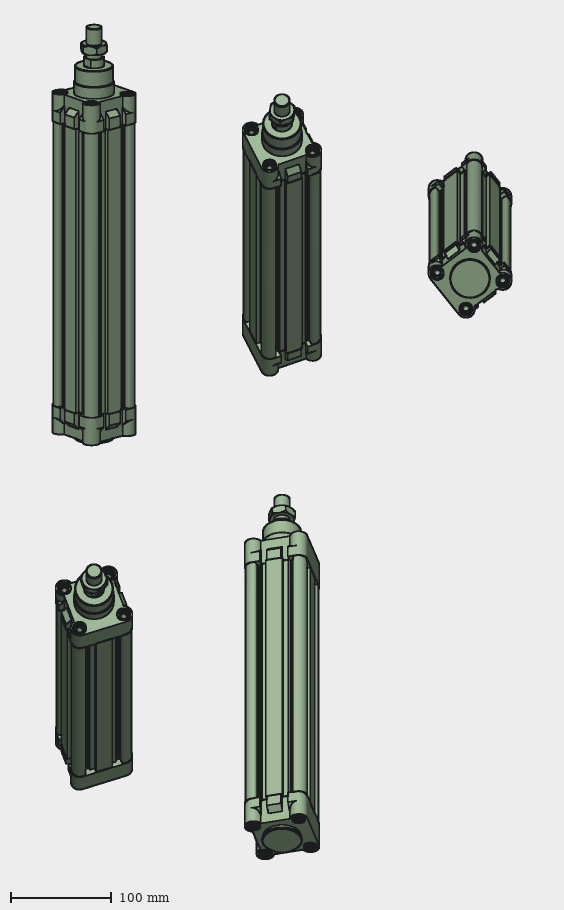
import cadquery as cq
import math

BOTTOM_CAP_Z = 5.0
BARREL_Z = 34.0
TOP_CAP_Z = 330.5
COLLAR_Z = 360.0
COLLAR_STEP_Z = 372.5
COLLAR_TOP_Z = 388.5
SHOULDER_Z = 397.3
NUT_Z = 403.0
TOP_Z = 429.0
CAP_HEIGHT = COLLAR_Z - TOP_CAP_Z
BOTTOM_CAP_HEIGHT = BARREL_Z - BOTTOM_CAP_Z

CAP_WIDTH = 64.0
CAP_HALF_WIDTH = CAP_WIDTH / 2
SCREW_OFFSET = 23.0
POST_RADIUS = CAP_HALF_WIDTH - SCREW_OFFSET
POST_INNER = SCREW_OFFSET - POST_RADIUS
BLOCK_HALF_WIDTH = 26.0
PAD_WIDTH = 14.5
PAD_HEIGHT = 12.0
PAD_DEPTH = CAP_HALF_WIDTH - BLOCK_HALF_WIDTH
RECESSED_SIDES = (-90, 0, 90)

SCREW_RECESSES = ((13.5, 1.5), (11.5, 2.5), (8.0, 4.5), (6.5, 6.0))

COLLAR_DIAMETER = 40.0
COLLAR_NECK_DIAMETER = 38.0
FOOT_RIM_HEIGHT = 1.7
COLLAR_CHAMFER = (COLLAR_DIAMETER - COLLAR_NECK_DIAMETER) / 2

BARREL_HALF_WIDTH = 31.5
BARREL_CORNER_RADIUS = 8.5
EDGE_ROUND_START = 21.5
EDGE_ROUND_RADIUS = 2.5
SLOT_CENTER = 16.5
SLOT_HALF_WIDTH = EDGE_ROUND_START - EDGE_ROUND_RADIUS - SLOT_CENTER
CHANNEL_HALF_WIDTH = 1.0
RIB_HALF_WIDTH = 8.5
FLOOR_LEVEL = 27.0
LEDGE_LEVEL = 25.5
CHANNEL_LEVEL = 22.5

ROD_DIAMETER = 20.0
ROD_ACROSS_FLATS = 17.0
THREAD_DIAMETER = 16.0
THREAD_CHAMFER = 1.0
NUT_ACROSS_FLATS = 24.0
NUT_HEIGHT = 9.0
NUT_CHAMFER = 1.7


def cylinder(diameter, bottom, top):
    """Upright cylinder on the Z axis between two heights."""
    return cq.Workplane("XY").workplane(offset=bottom).circle(diameter / 2).extrude(top - bottom)


def make_pad(left, right):
    """Pad on the -Y side of a cap, with a 45 degree slope running up to the block face."""
    return (
        cq.Workplane("YZ")
        .workplane(offset=left)
        .moveTo(0, 0)
        .lineTo(-CAP_HALF_WIDTH, 0)
        .lineTo(-CAP_HALF_WIDTH, PAD_HEIGHT)
        .lineTo(-BLOCK_HALF_WIDTH, PAD_HEIGHT + PAD_DEPTH)
        .lineTo(0, PAD_HEIGHT + PAD_DEPTH)
        .close()
        .extrude(right - left)
    )


def make_screw_hole(top):
    """Stepped hole down from the given height, ending in a cone."""
    last_diameter, last_depth = SCREW_RECESSES[-1]
    cone_base = cq.Vector(0, 0, top - last_depth)
    last_radius = last_diameter / 2
    hole = cq.Workplane(cq.Solid.makeCone(last_radius, 0, last_radius, cone_base, cq.Vector(0, 0, -1)))
    for diameter, depth in SCREW_RECESSES:
        hole = hole.union(cylinder(diameter, top - depth, top))
    return hole


def make_cap(height):
    """End cap standing on the barrel end at Z = 0, flush on its +Y side."""
    posts = (
        cq.Workplane("XY")
        .rect(2 * SCREW_OFFSET, 2 * SCREW_OFFSET, forConstruction=True)
        .vertices()
        .circle(POST_RADIUS)
        .extrude(height)
    )
    block = cq.Workplane("XY").box(
        2 * BLOCK_HALF_WIDTH, 2 * BLOCK_HALF_WIDTH, height, centered=(True, True, False)
    )
    flush_side = cq.Workplane("XY").box(
        2 * SCREW_OFFSET, CAP_HALF_WIDTH, height, centered=(True, False, False)
    )
    cap = block.union(flush_side).union(posts)

    for angle in RECESSED_SIDES:
        for left, right in (
            (-SCREW_OFFSET, -POST_INNER),
            (-PAD_WIDTH / 2, PAD_WIDTH / 2),
            (POST_INNER, SCREW_OFFSET),
        ):
            cap = cap.union(make_pad(left, right).rotate((0, 0, 0), (0, 0, 1), angle))

    screw_hole = make_screw_hole(height)
    for x in (-SCREW_OFFSET, SCREW_OFFSET):
        for y in (-SCREW_OFFSET, SCREW_OFFSET):
            cap = cap.cut(screw_hole.translate((x, y, 0)))
    return cap


def make_barrel():
    """Square profile with rounded corners and the same pair of stepped slots on every side."""
    corner_center = BARREL_HALF_WIDTH - BARREL_CORNER_RADIUS
    corner_mid = corner_center + BARREL_CORNER_RADIUS * math.sqrt(0.5)
    slot_outer = SLOT_CENTER + SLOT_HALF_WIDTH
    slot_inner = SLOT_CENTER - SLOT_HALF_WIDTH
    round_level = BARREL_HALF_WIDTH - EDGE_ROUND_RADIUS
    round_mid_along = EDGE_ROUND_START - EDGE_ROUND_RADIUS * math.sqrt(0.5)
    round_mid_level = round_level + EDGE_ROUND_RADIUS * math.sqrt(0.5)

    def on_side(quarter, along, out):
        """Point on one of the four sides, starting from -Y and going counterclockwise."""
        x, y = along, -out
        for _ in range(quarter):
            x, y = -y, x
        return x, y

    half_side = (
        (slot_outer, round_level),
        (slot_outer, LEDGE_LEVEL),
        (SLOT_CENTER + CHANNEL_HALF_WIDTH, LEDGE_LEVEL),
        (SLOT_CENTER + CHANNEL_HALF_WIDTH, CHANNEL_LEVEL),
        (SLOT_CENTER - CHANNEL_HALF_WIDTH, CHANNEL_LEVEL),
        (SLOT_CENTER - CHANNEL_HALF_WIDTH, LEDGE_LEVEL),
        (slot_inner, LEDGE_LEVEL),
        (slot_inner, FLOOR_LEVEL),
        (RIB_HALF_WIDTH, FLOOR_LEVEL),
        (RIB_HALF_WIDTH, BARREL_HALF_WIDTH),
    )
    profile = cq.Workplane("XY").moveTo(*on_side(0, -corner_center, BARREL_HALF_WIDTH))
    for quarter in range(4):
        profile = profile.lineTo(*on_side(quarter, -EDGE_ROUND_START, BARREL_HALF_WIDTH))
        profile = profile.threePointArc(
            on_side(quarter, -round_mid_along, round_mid_level),
            on_side(quarter, -slot_outer, round_level),
        )
        for along, out in half_side[1:]:
            profile = profile.lineTo(*on_side(quarter, -along, out))
        for along, out in reversed(half_side):
            profile = profile.lineTo(*on_side(quarter, along, out))
        profile = profile.threePointArc(
            on_side(quarter, round_mid_along, round_mid_level),
            on_side(quarter, EDGE_ROUND_START, BARREL_HALF_WIDTH),
        )
        profile = profile.lineTo(*on_side(quarter, corner_center, BARREL_HALF_WIDTH))
        profile = profile.threePointArc(
            on_side(quarter, corner_mid, corner_mid),
            on_side(quarter, BARREL_HALF_WIDTH, corner_center),
        )
    return profile.close().extrude(TOP_CAP_Z - BARREL_Z).translate((0, 0, BARREL_Z))


def make_housing():
    """Barrel with both end caps, the rod collar, the foot collar and the blind rod hole."""
    top_cap = make_cap(CAP_HEIGHT).translate((0, 0, TOP_CAP_Z))
    bottom_cap = make_cap(BOTTOM_CAP_HEIGHT).mirror("XY").translate((0, 0, BARREL_Z))
    collar = cylinder(COLLAR_DIAMETER, COLLAR_Z, COLLAR_STEP_Z).faces(">Z").chamfer(COLLAR_CHAMFER)
    collar_neck = (
        cylinder(COLLAR_NECK_DIAMETER, COLLAR_STEP_Z, COLLAR_TOP_Z).faces(">Z").chamfer(COLLAR_CHAMFER)
    )
    foot_rim = cylinder(COLLAR_DIAMETER, 0, FOOT_RIM_HEIGHT).faces("<Z").chamfer(COLLAR_CHAMFER)
    foot_neck = cylinder(COLLAR_NECK_DIAMETER, FOOT_RIM_HEIGHT, BOTTOM_CAP_Z)
    rod_hole = cylinder(ROD_DIAMETER, TOP_CAP_Z, COLLAR_TOP_Z)

    housing = make_barrel()
    for piece in (top_cap, bottom_cap, collar, collar_neck, foot_neck, foot_rim):
        housing = housing.union(piece)
    return housing.cut(rod_hole)


def make_rod():
    """Piston rod with two wrench flats facing -Y and +Y and a thinner threaded end."""
    shank = cylinder(ROD_DIAMETER, TOP_CAP_Z, COLLAR_TOP_Z)
    wrench_flats = cylinder(ROD_DIAMETER, COLLAR_TOP_Z, SHOULDER_Z).intersect(
        cq.Workplane("XY").box(ROD_DIAMETER, ROD_ACROSS_FLATS, 2 * SHOULDER_Z)
    )
    threaded_end = cylinder(THREAD_DIAMETER, SHOULDER_Z, TOP_Z).faces(">Z").chamfer(THREAD_CHAMFER)
    return shank.union(wrench_flats).union(threaded_end)


def make_nut():
    """Hex nut with flats facing -X and +X and corners chamfered at both ends."""
    across_corners = NUT_ACROSS_FLATS / math.cos(math.pi / 6)
    hexagon = (
        cq.Workplane("XY")
        .workplane(offset=NUT_Z)
        .polygon(6, across_corners)
        .extrude(NUT_HEIGHT)
        .rotate((0, 0, 0), (0, 0, 1), 30)
    )
    rounding = cylinder(across_corners, NUT_Z, NUT_Z + NUT_HEIGHT).faces("<Z or >Z").chamfer(NUT_CHAMFER)
    return hexagon.intersect(rounding).cut(cylinder(THREAD_DIAMETER, NUT_Z, NUT_Z + NUT_HEIGHT))


housing = make_housing()
rod = make_rod()
nut = make_nut()

result = cq.Compound.makeCompound([housing.val(), rod.val(), nut.val()])